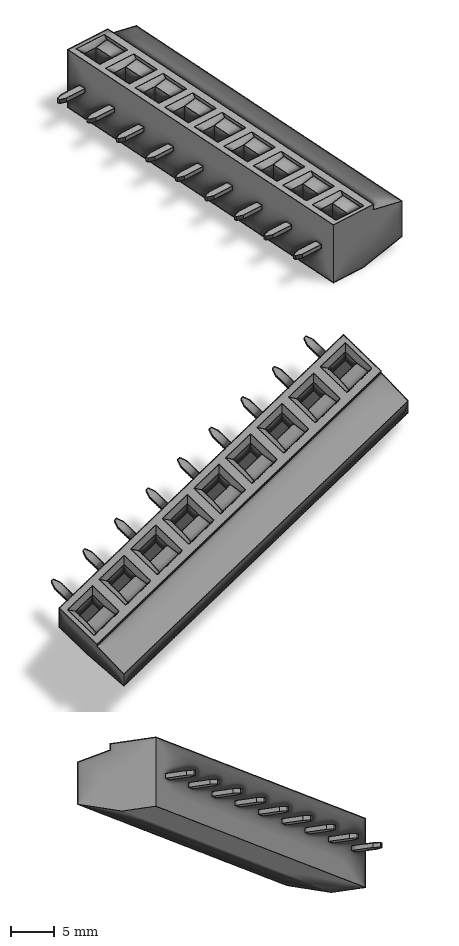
import cadquery as cq


poles = 9
length = 45.7
pitch = length / poles
depth = 10.42
height = 8.1
raised_depth = 6.1
step_drop = 0.75
rear_top_drop = 1.6
flat_base_depth = 4.53
rear_bottom_rise = 1.55
pin_axis_height = 4.0

entry_width = 4.02
entry_length = 4.25
entry_front = 0.82
funnel_depth = 0.65
ledge_edge_depth = 0.45
shaft_length = 1.85

pin_width = 0.9
pin_thickness = 0.55
pin_length = 3.65
tip_length = 0.82
tip_width = 0.3


def make_housing():
    """Housing profile in the YZ plane, run along X."""
    profile = [
        (0, 0),
        (flat_base_depth, 0),
        (depth, rear_bottom_rise),
        (depth, height - rear_top_drop),
        (raised_depth, height - step_drop),
        (raised_depth, height),
        (0, height),
    ]
    return cq.Workplane("YZ").polyline(profile).close().extrude(length)


def make_entry(x):
    """Funnel with a gently sloping rear ledge, leading into a rectangular shaft."""
    shaft_width = entry_width - 2 * funnel_depth
    shaft_front = entry_front + funnel_depth
    shaft_rear = shaft_front + shaft_length
    entry_rear = entry_front + entry_length
    funnel_bottom = height - funnel_depth

    funnel_length = entry_length + funnel_depth
    funnel = (
        cq.Workplane("XY", origin=(x, entry_front + funnel_length / 2, funnel_bottom))
        .rect(shaft_width, funnel_length - 2 * funnel_depth)
        .workplane(offset=funnel_depth)
        .rect(entry_width, funnel_length)
        .loft(ruled=True)
    )
    side_profile = [
        (entry_front, height),
        (entry_front, funnel_bottom),
        (shaft_rear, funnel_bottom),
        (entry_rear, height - ledge_edge_depth),
        (entry_rear, height),
    ]
    trim = (
        cq.Workplane("YZ", origin=(x, 0, 0))
        .polyline(side_profile)
        .close()
        .extrude(entry_width / 2, both=True)
    )
    shaft = cq.Workplane("XY").box(
        shaft_width, shaft_length, funnel_bottom - pin_axis_height, centered=(True, False, False)
    ).translate((x, shaft_front, pin_axis_height))
    return funnel.intersect(trim).union(shaft)


def make_pin(x):
    """Flat pin pointing toward -Y with a narrowed tip."""
    outline = [
        (-pin_width / 2, 0),
        (-pin_width / 2, tip_length - pin_length),
        (-tip_width / 2, -pin_length),
        (tip_width / 2, -pin_length),
        (pin_width / 2, tip_length - pin_length),
        (pin_width / 2, 0),
    ]
    return (
        cq.Workplane("XY", origin=(x, 0, pin_axis_height))
        .polyline(outline)
        .close()
        .extrude(pin_thickness / 2, both=True)
    )


result = make_housing()
for pole in range(poles):
    pole_x = (pole + 0.5) * pitch
    result = result.cut(make_entry(pole_x)).union(make_pin(pole_x))